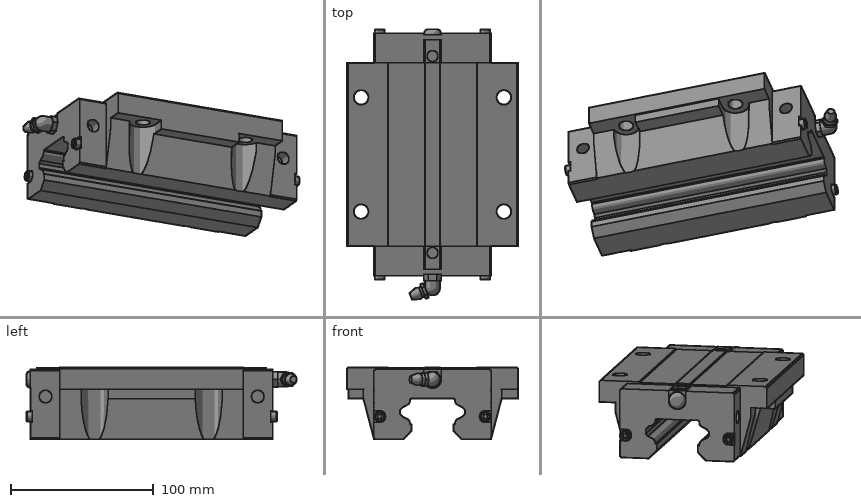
import math

import cadquery as cq


block_length = 128.5
block_height = 50.5
flange_width = 120.0
flange_bottom = 35.0
flange_chamfer = 1.0
body_top_width = 97.0
body_bottom_width = 82.0
slope_top = 28.5
relief_depth = 0.5
relief_width = 63.0
strip_width = 10.0

hole_pitch_x = 100.0
hole_pitch_y = 80.0
hole_diameter = 10.0
spot_face_radius = 9.6

pad_edge_left = -59.0
pad_edge_right = flange_width / 2

channel_top = 28.5
channel_top_half = 14.9
channel_corner_height = 0.8
channel_throat_half = 14.6
channel_neck_half = 15.7
channel_groove_half = 22.6
channel_mouth_half = 20.4
channel_mouth_height = 6.0
groove_center_z = 19.2
groove_flat_height = 3.0
groove_shoulder_half = 20.8
groove_shoulder_height = 6.6
lip_radius = 3.5
lip_offset = 8.0
lip_arc_angle = 63.0
throat_top = 10.6

end_half_length = 85.0
plate_thickness = 4.6
end_width = 82.0
end_height = 49.0
end_chamfer = 1.0
cap_strip_height = 1.0
cap_strip_base_width = 12.0
top_port_diameter = 7.7
top_port_depth = 0.6
top_port_y = 68.9
side_port_diameter = 8.8
side_port_depth = 10.0
side_port_y = 74.3
side_port_z = 30.0

screw_x = 37.0
screw_z = 16.0
screw_head_radius = 3.6
screw_tip = 87.86
screw_chamfer = 0.6
socket_radius = 1.6
socket_depth = 2.0
screw_pocket_radius = 4.1
screw_pocket_depth = 1.4

port_z = 42.0
port_pocket_radius = 6.1
port_pocket_depth = 1.0
plug_radius = 6.0
plug_rim = 0.7
plug_flat_radius = 2.5
plug_tip = 87.86

nut_corner_diameter = 12.4
nut_end = 88.3
elbow_radius = 5.3
elbow_center_y = -93.45
nozzle_angle = 21.3
collar_start = 4.8
collar_end = 7.1
collar_corner_diameter = 11.0
collar_back_radius = 4.6
neck_position = 8.8
neck_radius = 3.5
shoulder_position = 10.4
shoulder_radius = 4.2
taper_position = 12.1
taper_radius = 4.0
nozzle_tip = 16.4
nozzle_tip_radius = 2.4


def box(x_min, x_max, y_min, y_max, z_min, z_max):
    """Box given by its limits on each axis."""
    size = (x_max - x_min, y_max - y_min, z_max - z_min)
    return cq.Workplane("XY").box(*size, centered=False).translate((x_min, y_min, z_min))


def extrude_along_y(profile, y_min, y_max):
    """Extrude an XZ profile between two Y positions."""
    return profile.extrude(y_min - y_max).translate((0, y_min, 0))


def xz_polygon(half_points):
    """Closed XZ outline mirrored about X = 0 from its +X half."""
    mirrored = [(-x, z) for x, z in reversed(half_points)]
    return cq.Workplane("XZ").polyline(half_points + mirrored).close()


def y_cylinder(radius, x, z, y_min, y_max):
    """Cylinder with its axis along Y."""
    profile = cq.Workplane("XZ").center(x, z).circle(radius)
    return extrude_along_y(profile, y_min, y_max)


def at_both_ends(shape):
    """The shape at the +Y end together with its mirror image at the -Y end."""
    return shape.union(shape.mirror("XZ"))


def make_block():
    relief_z = block_height - relief_depth
    strip_half = strip_width / 2
    relief_half = relief_width / 2
    half_outline = [
        (strip_half, block_height),
        (strip_half + relief_depth, relief_z),
        (relief_half - relief_depth, relief_z),
        (relief_half, block_height),
        (flange_width / 2 - flange_chamfer, block_height),
        (flange_width / 2, block_height - flange_chamfer),
        (flange_width / 2, flange_bottom),
        (body_top_width / 2, flange_bottom),
        (body_top_width / 2, slope_top),
        (body_bottom_width / 2, 0),
    ]
    half_length = block_length / 2
    block = extrude_along_y(xz_polygon(half_outline), -half_length, half_length)
    pads = box(
        pad_edge_left, pad_edge_right, -hole_pitch_y / 2, hole_pitch_y / 2, slope_top, flange_bottom
    )
    return block.union(pads)


def cut_mounting_holes(block):
    for side in (-1, 1):
        for end in (-1, 1):
            x = side * hole_pitch_x / 2
            y = end * hole_pitch_y / 2
            spot_face = cq.Workplane("XY").center(x, y).circle(spot_face_radius).extrude(flange_bottom)
            outer_x = side * flange_width / 2
            opening = box(
                min(x, outer_x), max(x, outer_x),
                y - spot_face_radius, y + spot_face_radius,
                0, flange_bottom,
            )
            hole = cq.Workplane("XY").center(x, y).circle(hole_diameter / 2).extrude(block_height)
            block = block.cut(spot_face).cut(opening).cut(hole)
    return block


def make_end():
    """End cap and wiper plate at the +Y end."""
    start = block_length / 2
    plate_start = end_half_length - plate_thickness
    end = box(-end_width / 2, end_width / 2, start, end_half_length, 0, end_height)
    end = end.edges("|Y").chamfer(end_chamfer)

    strip_outline = [
        (strip_width / 2, end_height + cap_strip_height),
        (cap_strip_base_width / 2, end_height),
    ]
    strip = extrude_along_y(xz_polygon(strip_outline), start, plate_start)
    top_port = (
        cq.Workplane("XY", origin=(0, top_port_y, end_height + cap_strip_height))
        .circle(top_port_diameter / 2)
        .extrude(-top_port_depth)
    )
    end = end.union(strip).cut(top_port)

    for side in (-1, 1):
        side_port = (
            cq.Workplane("YZ", origin=(side * end_width / 2, side_port_y, side_port_z))
            .circle(side_port_diameter / 2)
            .extrude(-side * side_port_depth)
        )
        end = end.cut(side_port)
    return end.cut(make_port_pocket())


def make_port_pocket():
    """Round-bottomed pocket, open at the top, around the lubrication port."""
    floor_y = end_half_length - port_pocket_depth
    round_bottom = y_cylinder(port_pocket_radius, 0, port_z, floor_y, end_half_length)
    opening = box(
        -port_pocket_radius, port_pocket_radius, floor_y, end_half_length, port_z, end_height
    )
    return round_bottom.union(opening)


def lip_point(angle):
    """X and Z offset, from the groove center line, of a point on the upper rounded lip."""
    turn = math.radians(angle)
    x = channel_neck_half + lip_radius * (1 - math.cos(turn))
    z_offset = lip_offset - lip_radius * math.sin(turn)
    return x, z_offset


def make_channel():
    """Rail channel with a ball groove on each side, symmetric about its groove center line."""
    lip_mid_x, lip_mid_offset = lip_point(lip_arc_angle / 2)
    lip_end_x, lip_end_offset = lip_point(lip_arc_angle)
    flat = groove_flat_height / 2
    shoulder = groove_shoulder_height / 2
    half = (
        cq.Workplane("XZ")
        .moveTo(0, 0)
        .lineTo(channel_mouth_half, 0)
        .lineTo(channel_throat_half, channel_mouth_height)
        .lineTo(channel_throat_half, throat_top)
        .lineTo(channel_neck_half, throat_top)
        .lineTo(channel_neck_half, groove_center_z - lip_offset)
        .threePointArc(
            (lip_mid_x, groove_center_z - lip_mid_offset),
            (lip_end_x, groove_center_z - lip_end_offset),
        )
        .lineTo(groove_shoulder_half, groove_center_z - shoulder)
        .lineTo(channel_groove_half, groove_center_z - flat)
        .lineTo(channel_groove_half, groove_center_z + flat)
        .lineTo(groove_shoulder_half, groove_center_z + shoulder)
        .lineTo(lip_end_x, groove_center_z + lip_end_offset)
        .threePointArc(
            (lip_mid_x, groove_center_z + lip_mid_offset),
            (channel_neck_half, groove_center_z + lip_offset),
        )
        .lineTo(channel_neck_half, channel_top - channel_corner_height)
        .lineTo(channel_top_half, channel_top)
        .lineTo(0, channel_top)
        .close()
    )
    half = extrude_along_y(half, -end_half_length, end_half_length)
    return half.union(half.mirror("YZ"))


def add_screws(part):
    floor_y = end_half_length - screw_pocket_depth
    for side in (-1, 1):
        x = side * screw_x
        outer_x = side * end_width / 2
        pocket = y_cylinder(screw_pocket_radius, x, screw_z, floor_y, end_half_length)
        opening = box(
            min(x, outer_x), max(x, outer_x),
            floor_y, end_half_length,
            screw_z - screw_pocket_radius, screw_z + screw_pocket_radius,
        )
        head = y_cylinder(screw_head_radius, x, screw_z, floor_y, screw_tip)
        head = head.faces(">Y").chamfer(screw_chamfer)
        socket = y_cylinder(socket_radius, x, screw_z, screw_tip - socket_depth, screw_tip)
        part = part.cut(at_both_ends(pocket.union(opening)))
        part = part.union(at_both_ends(head.cut(socket)))
    return part


def make_plug():
    """Domed plug closing the +Y lubrication port."""
    base_y = end_half_length - port_pocket_depth
    rim_y = base_y + plug_rim
    dome_height = plug_tip - rim_y
    bulge = math.sqrt(0.5)
    profile = (
        cq.Workplane("XY")
        .moveTo(0, base_y)
        .lineTo(plug_radius, base_y)
        .lineTo(plug_radius, rim_y)
        .threePointArc(
            (
                plug_flat_radius + (plug_radius - plug_flat_radius) * bulge,
                rim_y + dome_height * bulge,
            ),
            (plug_flat_radius, plug_tip),
        )
        .lineTo(0, plug_tip)
        .close()
    )
    return profile.revolve(360, (0, 0, 0), (0, 1, 0)).translate((0, 0, port_z))


def make_nipple():
    """Grease nipple with a round elbow, its nozzle turned toward -X."""
    base_y = -(end_half_length - port_pocket_depth)
    nut_profile = cq.Workplane("XZ").center(0, port_z).polygon(6, nut_corner_diameter)
    nut = extrude_along_y(nut_profile, -nut_end, base_y)
    stem = y_cylinder(elbow_radius, 0, port_z, elbow_center_y, base_y)
    elbow = cq.Workplane("XY").sphere(elbow_radius).translate((0, elbow_center_y, port_z))

    nozzle_outline = (
        cq.Workplane("XY")
        .moveTo(-collar_start, 0)
        .lineTo(-collar_start, collar_back_radius)
        .lineTo(-collar_end, collar_back_radius)
        .lineTo(-neck_position, neck_radius)
        .threePointArc((-shoulder_position, shoulder_radius), (-taper_position, taper_radius))
        .lineTo(-nozzle_tip, nozzle_tip_radius)
        .lineTo(-nozzle_tip, 0)
        .close()
    )
    nozzle = nozzle_outline.revolve(360, (0, 0, 0), (1, 0, 0))
    collar = (
        cq.Workplane("YZ", origin=(-collar_start, 0, 0))
        .polygon(6, collar_corner_diameter)
        .extrude(collar_start - collar_end)
    )
    nozzle = nozzle.union(collar).rotate((0, 0, 0), (0, 0, 1), nozzle_angle)
    nozzle = nozzle.translate((0, elbow_center_y, port_z))
    return nut.union(stem).union(elbow).union(nozzle)


carriage = cut_mounting_holes(make_block())
carriage = carriage.union(at_both_ends(make_end())).cut(make_channel())
carriage = add_screws(carriage)
result = carriage.union(make_plug()).union(make_nipple())